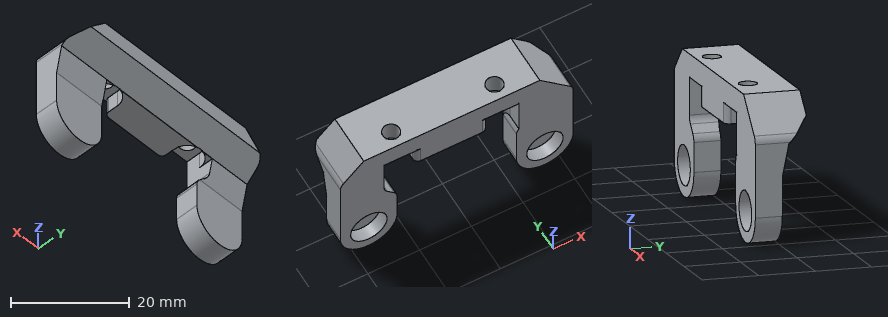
import cadquery as cq
import math

width = 45.0
depth = 10.0
leg_width = 11.0
leg_radius = leg_width / 2
pin_drop = 20.02

left_chamfer = 4.5
right_chamfer = 6.5
outline_fillet = 2.0
crossbar_height = 7.6
step_drop = 11.48

back_upright_height = 3.55
back_bend_y = 6.0
back_bend_drop = back_upright_height + depth - back_bend_y
leg_thickness = 4.8
taper_end_drop = 13.28

hole_diameter = 3.2
hole_spacing = 20.0
left_hole_x = 11.48
right_hole_x = left_hole_x + hole_spacing
hole_y = 3.0
slot_radius = 3.0
slot_ceiling_drop = 4.05
slot_mouth_fillet = 1.0

socket_diameter = 7.0
socket_depth = 2.5

left_pin_x = leg_radius
right_pin_x = width - leg_radius
left_inner_x = leg_width
right_inner_x = width - leg_width
left_recess_x = left_hole_x - slot_radius
right_recess_x = right_hole_x + slot_radius
left_ramp_end_drop = step_drop + left_inner_x - left_recess_x


def make_body():
    """Front outline, with rounded corners, extruded to the back."""
    outline = (
        cq.Workplane("XZ")
        .moveTo(left_chamfer, 0)
        .lineTo(width - right_chamfer, 0)
        .lineTo(width, -right_chamfer)
        .lineTo(width, -pin_drop)
        .threePointArc((right_pin_x, -pin_drop - leg_radius), (right_inner_x, -pin_drop))
        .lineTo(right_inner_x, -crossbar_height)
        .lineTo(left_recess_x, -crossbar_height)
        .lineTo(left_recess_x, -step_drop)
        .lineTo(left_inner_x, -left_ramp_end_drop)
        .lineTo(left_inner_x, -pin_drop)
        .threePointArc((left_pin_x, -pin_drop - leg_radius), (0, -pin_drop))
        .lineTo(0, -left_chamfer)
        .close()
        .extrude(-depth)
    )
    rounded_corners = [
        (0, -left_chamfer),
        (width, -right_chamfer),
        (left_recess_x, -step_drop),
        (left_inner_x, -left_ramp_end_drop),
    ]
    corner_edges = outline.edges("|Y").filter(
        lambda edge: any(
            math.hypot(edge.Center().x - x, edge.Center().z - z) < 0.005
            for x, z in rounded_corners
        )
    )
    return corner_edges.fillet(outline_fillet)


def make_side_profile():
    """Side silhouette that thins the legs from the back."""
    bottom = -pin_drop - leg_radius
    return (
        cq.Workplane("YZ")
        .polyline([
            (0, 0),
            (depth, 0),
            (depth, -back_upright_height),
            (back_bend_y, -back_bend_drop),
            (leg_thickness, -taper_end_drop),
            (leg_thickness, bottom),
            (0, bottom),
        ])
        .close()
        .extrude(width)
    )


def make_head_slot(x, bottom_drop):
    """Round-ended slot around a screw hole, from its ceiling down to bottom_drop."""
    return (
        cq.Workplane("XY", origin=(x, 0, -bottom_drop))
        .moveTo(-slot_radius, 0)
        .lineTo(-slot_radius, hole_y)
        .threePointArc((0, hole_y + slot_radius), (slot_radius, hole_y))
        .lineTo(slot_radius, 0)
        .close()
        .extrude(bottom_drop - slot_ceiling_drop)
    )


def make_mouth_flare(corner_x, side):
    """Material removed to round a slot corner; side points away from the slot."""
    radius = slot_mouth_fillet
    diagonal = radius * (1 - math.sqrt(0.5))
    return (
        cq.Workplane("XY", origin=(corner_x, 0, -crossbar_height))
        .lineTo(side * radius, 0)
        .threePointArc((side * diagonal, diagonal), (0, radius))
        .close()
        .extrude(crossbar_height - slot_ceiling_drop)
    )


def make_right_slot():
    """Right head slot, running out into the leg over a rounded ledge."""
    ledge_width = right_recess_x - right_inner_x
    runout = math.sqrt(outline_fillet**2 - (outline_fillet - ledge_width) ** 2)
    slot_bottom = step_drop + runout
    ledge = (
        cq.Workplane("XZ", origin=(right_inner_x + outline_fillet, 0, -slot_bottom))
        .circle(outline_fillet)
        .extrude(-depth)
    )
    return make_head_slot(right_hole_x, slot_bottom).cut(ledge)


screw_holes = (
    cq.Workplane("XY")
    .pushPoints([(left_hole_x, hole_y), (right_hole_x, hole_y)])
    .circle(hole_diameter / 2)
    .extrude(-crossbar_height)
)
pin_sockets = (
    cq.Workplane("XZ")
    .pushPoints([(left_pin_x, -pin_drop), (right_pin_x, -pin_drop)])
    .circle(socket_diameter / 2)
    .extrude(-socket_depth)
)

result = (
    make_body()
    .intersect(make_side_profile())
    .cut(make_head_slot(left_hole_x, crossbar_height))
    .cut(make_right_slot())
    .cut(make_mouth_flare(left_hole_x + slot_radius, 1))
    .cut(make_mouth_flare(right_hole_x - slot_radius, -1))
    .cut(screw_holes)
    .cut(pin_sockets)
)